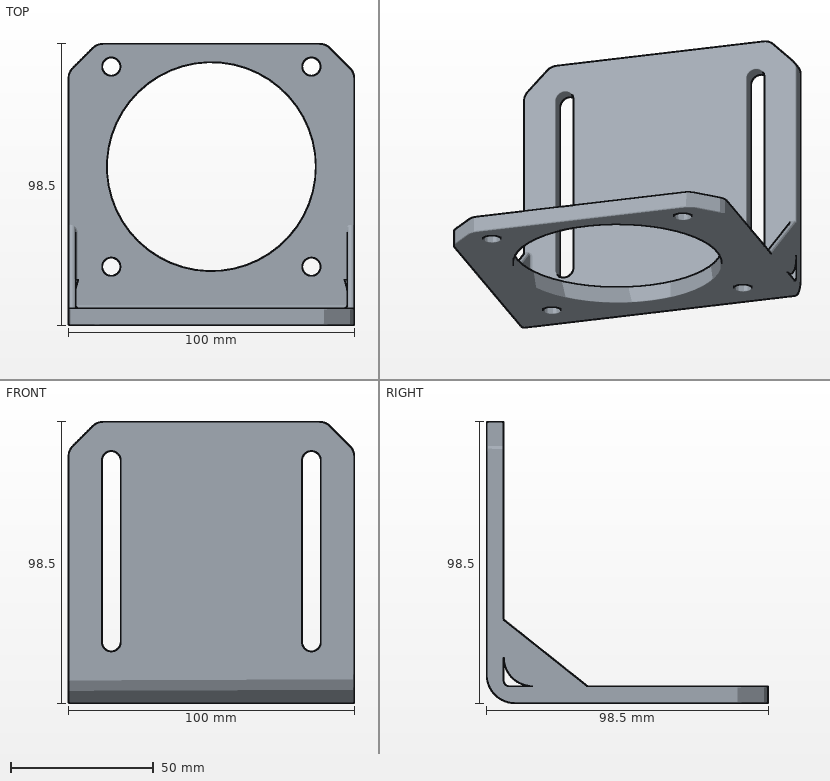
import cadquery as cq
import math

width = 100.0
leg_length = 98.5
thickness = 6.0
bend_outer_radius = 10.0
bend_inner_radius = 2.0

corner_clip = 10.0
corner_radius = 5.0

bore_diameter = 73.0
bore_center_y = 55.5
hole_diameter = 6.3
hole_spacing = 70.0

slot_width = 6.5
slot_length = 70.0
slot_spacing = 70.0
slot_center_z = 53.2

gusset_thickness = 2.5
gusset_reach_y = 29.3
gusset_reach_z = 23.3
gusset_opening_radius = 10.0
gusset_root_radius = 1.0

gusset_edge_radius = 1.0
rim_radius = 0.5
cutout_edge_radius = 0.25

half_width = width / 2
gusset_inner_x = half_width - gusset_thickness
sides = (-1, 1)


def edges_near(body, points):
    """Select, for each point, the edge of the body whose centre is closest to it."""
    edges = [body.edges(cq.NearestToPointSelector(point)).val() for point in points]
    return body.newObject(edges)


def clip_corners(body, free_end, thickness_axis):
    """Clip the two corners at the free end of a plate and round the clips."""
    body = body.faces(free_end).edges(thickness_axis).chamfer(corner_clip)
    shoulder = leg_length - corner_clip
    mid_plate = thickness / 2
    points = []
    for side in sides:
        for x, along in ((half_width, shoulder), (half_width - corner_clip, leg_length)):
            on_horizontal_plate = free_end == ">Y"
            y, z = (along, mid_plate) if on_horizontal_plate else (mid_plate, along)
            points.append((side * x, y, z))
    return edges_near(body, points).fillet(corner_radius)


def make_angle():
    """L-shaped body with a rounded bend and clipped free corners."""
    profile = [
        (0, 0),
        (leg_length, 0),
        (leg_length, thickness),
        (thickness, thickness),
        (thickness, leg_length),
        (0, leg_length),
    ]
    angle = cq.Workplane("YZ").polyline(profile).close().extrude(half_width, both=True)
    angle = edges_near(angle, [(0, 0, 0)]).fillet(bend_outer_radius)
    angle = edges_near(angle, [(0, thickness, thickness)]).fillet(bend_inner_radius)
    angle = clip_corners(angle, ">Y", "|Z")
    return clip_corners(angle, ">Z", "|Y")


def make_gusset(side):
    """Triangular web flush with one side, its corner at the bend cut away by an arc."""
    start = thickness
    opening_end = start + gusset_opening_radius
    arc_middle = opening_end - gusset_opening_radius * math.sqrt(0.5)
    return (
        cq.Workplane("YZ", origin=(side * half_width, 0, 0))
        .moveTo(opening_end, start)
        .threePointArc((arc_middle, arc_middle), (start, opening_end))
        .lineTo(start, start + gusset_reach_z)
        .lineTo(start + gusset_reach_y, start)
        .close()
        .extrude(-side * gusset_thickness)
    )


def round_outline(body):
    """Round the rims of both plates and the sloping gusset edges."""
    slope_y = thickness + gusset_reach_y / 2
    slope_z = thickness + gusset_reach_z / 2
    slopes = []
    for side in sides:
        slopes.append((side * half_width, slope_y, slope_z))
        slopes.append((side * gusset_inner_x, slope_y, slope_z))

    inner_rims = [(0, leg_length, thickness), (0, thickness, leg_length)]
    body = edges_near(body, inner_rims).fillet(rim_radius)
    body = edges_near(body, slopes).fillet(gusset_edge_radius)
    return edges_near(body, [(0, leg_length, 0)]).fillet(rim_radius)


def round_gusset_roots(body):
    """Fill the corners where the inner gusset faces meet the two plates."""
    opening_end = thickness + gusset_opening_radius
    root_y = (opening_end + thickness + gusset_reach_y) / 2
    root_z = (opening_end + thickness + gusset_reach_z) / 2
    roots = []
    for side in sides:
        roots.append((side * gusset_inner_x, root_y, thickness))
        roots.append((side * gusset_inner_x, thickness, root_z))
    return edges_near(body, roots).fillet(gusset_root_radius)


def cut_horizontal_plate(body):
    """Cut the bore and the four screw holes around it."""
    plate = cq.Workplane("XY", origin=(0, bore_center_y, 0))
    bore = plate.circle(bore_diameter / 2).extrude(thickness)
    holes = plate.rect(hole_spacing, hole_spacing, forConstruction=True).vertices()
    holes = holes.circle(hole_diameter / 2).extrude(thickness)
    body = body.cut(bore).cut(holes)

    rims = []
    for z in (0, thickness):
        rims.append((0, bore_center_y, z))
        for x_side in sides:
            for y_side in sides:
                hole_x = x_side * hole_spacing / 2
                hole_y = bore_center_y + y_side * hole_spacing / 2
                rims.append((hole_x, hole_y, z))
    return edges_near(body, rims).fillet(cutout_edge_radius)


def cut_vertical_plate(body):
    """Cut the two upright slots."""
    slot_centers = [(side * slot_spacing / 2, 0) for side in sides]
    slots = (
        cq.Workplane("XZ", origin=(0, 0, slot_center_z))
        .pushPoints(slot_centers)
        .slot2D(slot_length, slot_width, 90)
        .extrude(-thickness)
    )
    body = body.cut(slots)

    rims = []
    for x, _ in slot_centers:
        for y in (0, thickness):
            rims.append((x + slot_width / 2, y, slot_center_z))
    return edges_near(body, rims).fillet(cutout_edge_radius)


result = make_angle()
for gusset_side in sides:
    result = result.union(make_gusset(gusset_side))
result = round_outline(result)
result = round_gusset_roots(result)
result = cut_horizontal_plate(result)
result = cut_vertical_plate(result)